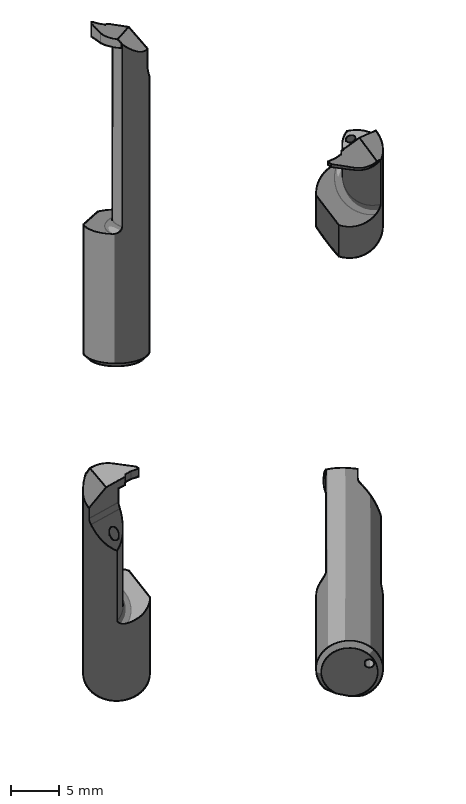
import cadquery as cq
import math

total_length = 37.0
shank_diameter = 7.0
shank_radius = shank_diameter / 2
overall_width = 6.35
flat_x = shank_radius - overall_width
shank_length = 15.02
end_chamfer = 0.55

neck_radius = 3.15
neck_axis_x = 2.95
cove_radius = 0.8

rake_face_y = 0.1
ramp_start_z = 32.5
ramp_end_y = 2.95
ramp_end_z = 29.0
ramp_corner_radius = 1.3

head_thickness = 1.55
top_relief_angle = 5.0
bottom_relief_angle = 6.0
tip_x = -2.78
tip_y = 0.05
tip_land_y = -0.37
tip_bevel = 0.1
flank_end_x = -0.92
flank_end_y = tip_land_y - (flank_end_x - tip_x - tip_bevel)
heel_radius = 2.92
groove_y = -0.15
groove_start_x = -1.9
groove_end_x = -1.2
groove_exit_x = -1.0
top_bevel_x = 1.37

hole_diameter = 1.0
hole_x = 1.48
hole_y = 1.78


def make_shank():
    bar = cq.Workplane("XY").circle(shank_radius).extrude(shank_length).faces("<Z").chamfer(end_chamfer)
    beyond_flat = cq.Workplane("XY").box(
        shank_radius, shank_diameter, shank_length, centered=(False, True, False)
    )
    return bar.cut(beyond_flat.translate((flat_x - shank_radius, 0, 0)))


def make_neck():
    cove_middle = cove_radius * (1 - math.sqrt(0.5))
    profile = (
        cq.Workplane("XZ")
        .moveTo(0, shank_length)
        .lineTo(neck_radius + cove_radius, shank_length)
        .threePointArc(
            (neck_radius + cove_middle, shank_length + cove_middle),
            (neck_radius, shank_length + cove_radius),
        )
        .lineTo(neck_radius, total_length)
        .lineTo(0, total_length)
        .close()
    )
    neck = profile.revolve(360, (0, 0, 0), (0, 1, 0)).translate((neck_axis_x, 0, 0))
    envelope = cq.Workplane("XY").circle(shank_radius).extrude(total_length)
    return neck.intersect(envelope)


def make_rake_cut():
    ramp_slope = (ramp_start_z - ramp_end_z) / (ramp_end_y - rake_face_y)
    outer_y = 2 * shank_radius
    outer_z = ramp_start_z - ramp_slope * (outer_y - rake_face_y)
    cut = (
        cq.Workplane("YZ")
        .moveTo(rake_face_y, 2 * total_length)
        .lineTo(rake_face_y, ramp_start_z)
        .lineTo(outer_y, outer_z)
        .lineTo(outer_y, 2 * total_length)
        .close()
        .extrude(2 * shank_radius, both=True)
    )
    corner = cq.selectors.NearestToPointSelector((0, rake_face_y, ramp_start_z))
    return cut.edges(corner).fillet(ramp_corner_radius)


def make_head():
    half_root = math.sqrt(0.5)
    center_x = flank_end_x + heel_radius * half_root
    center_y = flank_end_y + heel_radius * half_root
    outline = (
        cq.Workplane("XY")
        .moveTo(tip_x, tip_y)
        .lineTo(groove_start_x, groove_y)
        .lineTo(groove_end_x, groove_y)
        .lineTo(groove_exit_x, rake_face_y)
        .lineTo(center_x + heel_radius, rake_face_y)
        .lineTo(center_x + heel_radius, center_y)
        .threePointArc((center_x, center_y - heel_radius), (flank_end_x, flank_end_y))
        .lineTo(tip_x + tip_bevel, tip_land_y)
        .close()
    )
    blank = outline.extrude(total_length)
    envelope = cq.Workplane("XY").circle(shank_radius).extrude(total_length)
    slab_back_y = -shank_radius
    depth = rake_face_y - slab_back_y
    head_bottom_z = total_length - head_thickness
    slab = (
        cq.Workplane("YZ")
        .moveTo(rake_face_y, total_length)
        .lineTo(rake_face_y, head_bottom_z)
        .lineTo(slab_back_y, head_bottom_z + depth * math.tan(math.radians(bottom_relief_angle)))
        .lineTo(slab_back_y, total_length)
        .close()
        .extrude(shank_radius, both=True)
    )
    return blank.intersect(envelope).intersect(slab)


def make_top_cut():
    drop = math.tan(math.radians(top_relief_angle))
    bevel_reach = 2 * shank_radius
    cut_length = 2 * shank_radius
    profile = (
        cq.Workplane("XZ")
        .moveTo(-bevel_reach, total_length)
        .lineTo(top_bevel_x, total_length)
        .lineTo(top_bevel_x + bevel_reach, total_length - bevel_reach)
        .lineTo(top_bevel_x + bevel_reach, 2 * total_length)
        .lineTo(-bevel_reach, 2 * total_length)
        .close()
    )
    sweep_direction = cq.Vector(0, -cut_length, -cut_length * drop)
    cutter = cq.Solid.extrudeLinear(profile.wire().val(), [], sweep_direction)
    return cq.Workplane(cutter).translate((0, rake_face_y, 0))


result = make_shank().union(make_neck()).cut(make_rake_cut())
result = result.union(make_head()).cut(make_top_cut())
coolant_hole = cq.Workplane("XY").center(hole_x, hole_y).circle(hole_diameter / 2).extrude(total_length)
result = result.cut(coolant_hole)